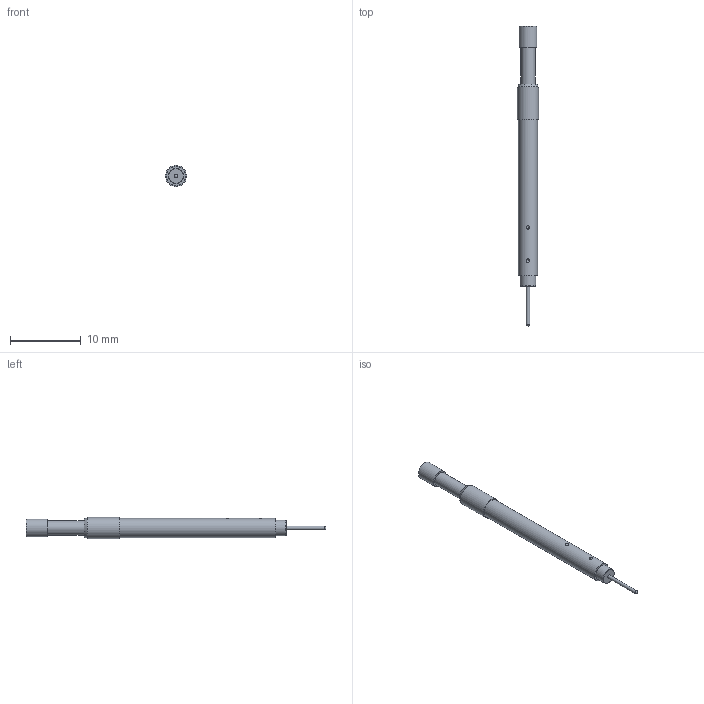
import cadquery as cq


head_dia = 2.5
neck_dia = 2.0
collar_dia = 3.0
barrel_dia = 2.7
tail_dia = 2.2
pin_dia = 0.5

head_length = 3.0
neck_length = 5.2
collar_length = 5.0
barrel_length = 22.0
tail_length = 1.5
pin_length = 5.6

collar_lead_length = 0.4
collar_lead_depth = 0.2
tail_fillet = 0.05
pin_dome_height = 0.15

dimple_dia = 0.5
dimple_depth = 0.1
last_dimple_to_barrel_end = 2.1
dimple_spacing = 4.7
dimple_count = 2

collar_end = collar_length
neck_end = collar_end + neck_length
barrel_end = -barrel_length
tail_end = barrel_end - tail_length


def cylinder(diameter, start, length):
    """Round bar on the Y axis, running from start towards +Y."""
    plane = cq.Workplane("XZ", origin=(0, start, 0))
    return plane.circle(diameter / 2).extrude(-length)


def make_plunger():
    """Moving contact: wide head on a slimmer neck."""
    neck = cylinder(neck_dia, collar_end, neck_length)
    head = cylinder(head_dia, neck_end, head_length)
    return neck.union(head)


def make_collar():
    """Press-fit collar with a shallow lead-in cone at the neck end."""
    radius = collar_dia / 2
    profile = (
        cq.Workplane("YZ")
        .lineTo(0, radius)
        .lineTo(collar_end - collar_lead_length, radius)
        .lineTo(collar_end, radius - collar_lead_depth)
        .lineTo(collar_end, 0)
        .close()
    )
    return profile.revolve(360, (0, 0, 0), (1, 0, 0))


def make_pin():
    """Thin tail pin ending in a domed tip."""
    radius = pin_dia / 2
    tip = tail_end - pin_length
    dome_radius = (radius**2 + pin_dome_height**2) / (2 * pin_dome_height)
    pin = cylinder(pin_dia, tip, pin_length)
    dome = cylinder(pin_dia, tip, pin_dome_height)
    ball = cq.Workplane("XY", origin=(0, tip + dome_radius, 0)).sphere(dome_radius)
    return pin.cut(dome.cut(ball))


def make_tail():
    """Rear plug with a slightly rounded edge, and the pin leaving it."""
    plug = cylinder(tail_dia, tail_end, tail_length).faces("<Y").edges().fillet(tail_fillet)
    return plug.union(make_pin())


def make_dimples():
    """Ball-shaped cutters for the row of shallow dimples along the top of the barrel."""
    first = barrel_end + last_dimple_to_barrel_end
    ball_radius = ((dimple_dia / 2) ** 2 + dimple_depth**2) / (2 * dimple_depth)
    ball_height = barrel_dia / 2 - dimple_depth + ball_radius
    centres = [(0, first + i * dimple_spacing) for i in range(dimple_count)]
    plane = cq.Workplane("XY", origin=(0, 0, ball_height))
    return plane.pushPoints(centres).sphere(ball_radius)


barrel = cylinder(barrel_dia, barrel_end, barrel_length).cut(make_dimples())
result = barrel.union(make_collar()).union(make_plunger()).union(make_tail())